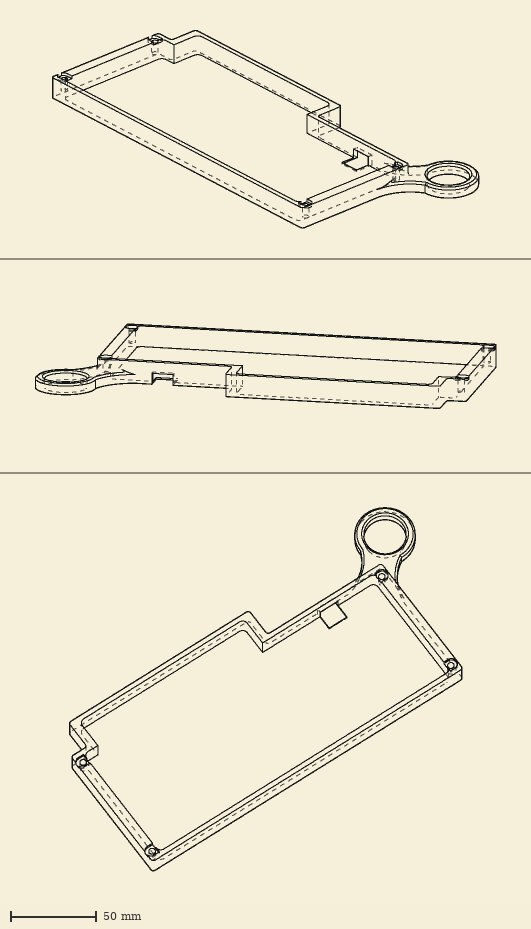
import cadquery as cq
case_length = 221.7
case_depth = 84.0
case_height = 13.5
bay_left = 11.5
bay_right = 140.4
bay_back = 103.0
corner_radius = 1.8

floor_thickness = 1.0
wall = 3.0
end_wall = 6.9
bay_end_wall = 5.5
cavity_corner_radius = 3.3

recess_radius = 3.43
recess_depth = 1.8
left_recess_inset = 3.18
right_recess_inset = 3.8
screw_diameter = 3.8
screw_inset = 4.2
screw_depth = 7.6
screw_offset_y = wall + recess_radius

window_left = 176.0
window_width = 12.7
window_front = 71.7
window_top = 6.5

ring_radius = 17.8
ring_hole_diameter = 25.0
ring_x = 254.3 - ring_radius
ring_y = 119.3 - ring_radius
ring_height = 6.5
ring_rounding = 1.3
arm_root_fillet = 1.3
arm_back_start = 198.9
arm_side_start = 58.2
arm_back_bend = (213.9, 92.8)
arm_back_end = (219.0, ring_y)
arm_side_bend = (226.8, 75.0)
arm_side_end = (ring_x, 84.0)
arm_overlap = 5.0


def block(x_min, x_max, y_min, y_max, z_min, z_max):
    """Box given by its limits along each axis."""
    size = (x_max - x_min, y_max - y_min, z_max - z_min)
    return cq.Workplane("XY").box(*size, centered=False).translate((x_min, y_min, z_min))


def make_case():
    tray = block(0, case_length, 0, case_depth, 0, case_height)
    bay = block(bay_left, bay_right, case_depth - wall, bay_back, 0, case_height)
    return tray.union(bay).edges("|Z").fillet(corner_radius)


def make_cavity():
    back = case_depth - wall
    tray = block(end_wall, case_length - end_wall, wall, back, floor_thickness, case_height)
    bay = block(
        bay_left + bay_end_wall,
        bay_right - bay_end_wall,
        wall,
        bay_back - wall,
        floor_thickness,
        case_height,
    )
    tray = tray.edges("|Z").fillet(cavity_corner_radius)
    bay = bay.edges("|Z and >Y").fillet(cavity_corner_radius)
    return tray.union(bay)


def make_screw_cut(end_x, inward, recess_inset, y):
    """Recess open towards the cavity, with a blind screw hole in its floor."""
    recess_bottom = case_height - recess_depth
    recess_x = end_x + inward * recess_inset
    inner_x = end_x + inward * end_wall
    round_end = (
        cq.Workplane("XY", origin=(recess_x, y, recess_bottom))
        .circle(recess_radius)
        .extrude(recess_depth)
    )
    opening = block(
        min(recess_x, inner_x),
        max(recess_x, inner_x),
        y - recess_radius,
        y + recess_radius,
        recess_bottom,
        case_height,
    )
    hole = (
        cq.Workplane("XY", origin=(end_x + inward * screw_inset, y, recess_bottom))
        .circle(screw_diameter / 2)
        .extrude(-screw_depth)
    )
    return round_end.union(opening).union(hole)


def make_ring():
    """Ring and the flared arm that carries it, with chamfered top edges."""
    arm = (
        cq.Workplane("XY")
        .moveTo(arm_back_start, case_depth)
        .threePointArc(arm_back_bend, arm_back_end)
        .lineTo(ring_x, ring_y)
        .lineTo(*arm_side_end)
        .threePointArc(arm_side_bend, (case_length, arm_side_start))
        .lineTo(case_length - arm_overlap, arm_side_start)
        .lineTo(case_length - arm_overlap, case_depth - arm_overlap)
        .lineTo(arm_back_start, case_depth - arm_overlap)
        .close()
        .extrude(ring_height)
        .faces(">Z")
        .edges("%CIRCLE")
        .chamfer(ring_rounding)
    )
    centre = cq.Workplane("XY").center(ring_x, ring_y)
    disc = centre.circle(ring_radius).extrude(ring_height).faces(">Z").chamfer(ring_rounding)
    hole = centre.circle(ring_hole_diameter / 2).extrude(ring_height)
    hole_chamfer = (
        centre.workplane(offset=ring_height - ring_rounding)
        .circle(ring_hole_diameter / 2)
        .workplane(offset=ring_rounding)
        .circle(ring_hole_diameter / 2 + ring_rounding)
        .loft()
    )
    return arm.union(disc).cut(hole).cut(hole_chamfer)


def join_ring(case):
    """Join the ring to the case and fillet the arm's top into the case walls."""
    joined = case.union(make_ring())
    margin = 0.3
    root_zone = cq.selectors.BoxSelector(
        (arm_back_start, arm_side_start, ring_height - margin),
        (case_length + margin, case_depth + margin, ring_height + margin),
    )
    return joined.edges(root_zone).fillet(arm_root_fillet)


body = join_ring(make_case())
body = body.cut(make_cavity())
body = body.cut(
    block(window_left, window_left + window_width, window_front, case_depth, 0, window_top)
)
screw_ends = ((0, 1, left_recess_inset), (case_length, -1, right_recess_inset))
for end_x, inward, recess_inset in screw_ends:
    for y in (screw_offset_y, case_depth - screw_offset_y):
        body = body.cut(make_screw_cut(end_x, inward, recess_inset, y))

result = body